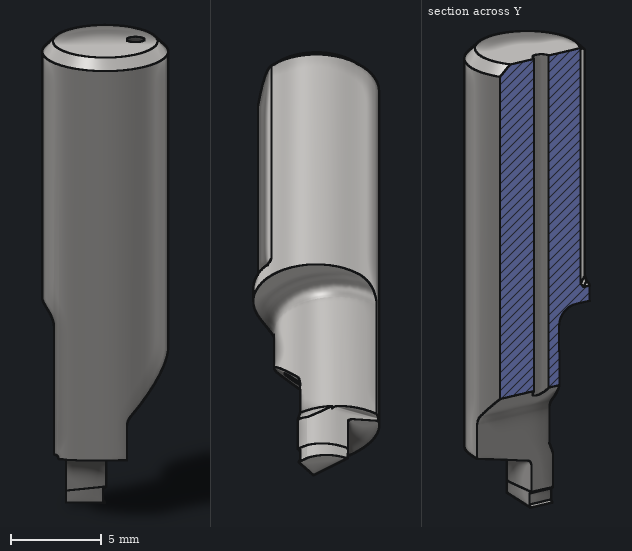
import cadquery as cq
import math

total_length = 27.0
shank_radius = 3.496
end_chamfer = 0.6
margin = 5.4

flat_distance = 2.92
flat_bottom = 13.18
flat_runout_height = 0.25
flat_runout_depth = 0.14
flat_angle = 135.0

neck_axis_x = 2.065
neck_top = 12.02
neck_fillet = 1.0
neck_bottom = 3.56

face_y = 0.122
relief_back_y = 3.38
relief_top = 9.18
relief_bottom = relief_top - (relief_back_y - face_y)
relief_fillet = 0.8

coolant_x = 0.25
coolant_y = 1.688
coolant_radius = 0.49

stem_left = -1.67
stem_right = -0.2
stem_flat_y = -0.55
stem_arc_mid = (-1.27, -1.4)
stem_arc_end = (-0.6, -2.0)
stem_front_y = -2.25
flare_slope = 0.4

underside_low = 2.78
underside_slope = 0.23
underside_tilt = 0.07
shelf_fillet = 0.15
stem_root_fillet = 0.32

tip_top = 0.95
tip_relief = 0.25
tip_lip_y = 0.05
rake_y = -0.05
rake_top = 0.8
rake_bottom = 0.15


def around_neck_axis(profile):
    """Revolve an R-Z profile about the neck axis."""
    return profile.revolve(360, (0, 0, 0), (0, 1, 0)).translate((neck_axis_x, 0, 0))


def shank():
    bar = cq.Workplane("XY").circle(shank_radius).extrude(total_length)
    return bar.faces(">Z").chamfer(end_chamfer)


def clamping_flat():
    """Cutter for the flat, with a sloped run-out at its lower end."""
    outer = shank_radius + margin
    cutter = (
        cq.Workplane("XZ")
        .moveTo(outer, flat_bottom - flat_runout_height)
        .lineTo(flat_distance + flat_runout_depth, flat_bottom - flat_runout_height)
        .lineTo(flat_distance, flat_bottom)
        .lineTo(flat_distance, total_length + margin)
        .lineTo(outer, total_length + margin)
        .close()
        .extrude(margin, both=True)
    )
    return cutter.rotate((0, 0, 0), (0, 0, 1), flat_angle)


def neck_clearance():
    """Ring outside the neck, with a concave fillet under the shank."""
    outer = shank_radius + neck_axis_x + margin
    mid = neck_fillet * (1 - math.sqrt(0.5))
    ring = (
        cq.Workplane("XZ")
        .moveTo(shank_radius, -margin)
        .lineTo(shank_radius, neck_top - neck_fillet)
        .threePointArc(
            (shank_radius + mid, neck_top - mid),
            (shank_radius + neck_fillet, neck_top),
        )
        .lineTo(outer, neck_top)
        .lineTo(outer, -margin)
        .close()
    )
    return around_neck_axis(ring)


def back_relief():
    """Cutter leaving the flat cutting face and the 45 degree slope above it."""
    cutter = (
        cq.Workplane("YZ")
        .moveTo(face_y, -margin)
        .lineTo(face_y, relief_bottom)
        .lineTo(relief_back_y + margin, relief_top + margin)
        .lineTo(relief_back_y + margin, -margin)
        .close()
        .extrude(shank_radius + margin, both=True)
    )
    return cutter.edges(cq.NearestToPointSelector((0, face_y, relief_bottom))).fillet(relief_fillet)


def below_plane(origin, slope_x, slope_y):
    """Block filling the space below a plane of the given slopes."""
    plane = cq.Plane(origin=origin, xDir=(1, 0, slope_x), normal=(-slope_x, -slope_y, 1))
    side = 4 * (shank_radius + margin)
    return cq.Workplane(plane).rect(side, side).extrude(-side)


def stem_front_slope():
    return (stem_front_y - stem_arc_end[1]) / (stem_right - stem_arc_end[0])


def stem_outline(right_x=stem_right):
    """Plan outline whose oblique front side runs on to the given X."""
    right_y = stem_front_y + stem_front_slope() * (right_x - stem_right)
    return (
        cq.Workplane("XY")
        .moveTo(stem_left, face_y)
        .lineTo(stem_left, stem_flat_y)
        .threePointArc(stem_arc_mid, stem_arc_end)
        .lineTo(right_x, right_y)
        .lineTo(right_x, face_y)
        .close()
    )


def shelf_clearance():
    """Space outside the stem's front side, continued to +X, under a shelf at the neck's foot."""
    outer = shank_radius + margin
    block = cq.Workplane("XY").rect(2 * outer, 2 * outer).extrude(neck_bottom)
    cutter = block.cut(stem_outline(outer).extrude(neck_bottom))
    edge_middle = (
        (stem_arc_end[0] + outer) / 2,
        stem_arc_end[1] + stem_front_slope() * (outer - stem_arc_end[0]) / 2,
        neck_bottom,
    )
    return cutter.edges(cq.NearestToPointSelector(edge_middle)).fillet(shelf_fillet)


def stem():
    """Prism standing on the tip, flaring out from the neck's surface."""
    foot_radius = shank_radius + flare_slope * neck_bottom
    flare = (
        cq.Workplane("XZ")
        .moveTo(0, 0)
        .lineTo(foot_radius, 0)
        .lineTo(shank_radius, neck_bottom)
        .lineTo(0, neck_bottom)
        .close()
    )
    prism = stem_outline().extrude(neck_bottom - tip_top).translate((0, 0, tip_top))
    return prism.intersect(around_neck_axis(flare))


def make_holder():
    body = shank().cut(clamping_flat()).cut(neck_clearance()).cut(back_relief())
    body = body.cut(below_plane((stem_right, face_y, underside_low), underside_slope, -underside_tilt))
    body = body.cut(shelf_clearance())
    body = body.union(stem())
    root_corner = (stem_right, (face_y + stem_front_y) / 2, underside_low)
    body = body.edges(cq.NearestToPointSelector(root_corner)).fillet(stem_root_fillet)
    coolant = cq.Workplane("XY").center(coolant_x, coolant_y).circle(coolant_radius).extrude(total_length)
    return body.cut(coolant)


def make_tip():
    """Tip carrying on the stem's outline, with a raked face and a relieved lower side."""
    side_profile = (
        cq.Workplane("YZ")
        .moveTo(face_y, tip_top)
        .lineTo(rake_y, rake_top)
        .lineTo(rake_y, rake_bottom)
        .lineTo(tip_lip_y, 0)
        .lineTo(stem_front_y, tip_relief)
        .lineTo(stem_front_y, tip_top)
        .close()
        .extrude(shank_radius, both=True)
    )
    return stem_outline().extrude(tip_top).intersect(side_profile)


holder = make_holder()
tip = make_tip()

result = cq.Compound.makeCompound([holder.val(), tip.val()])